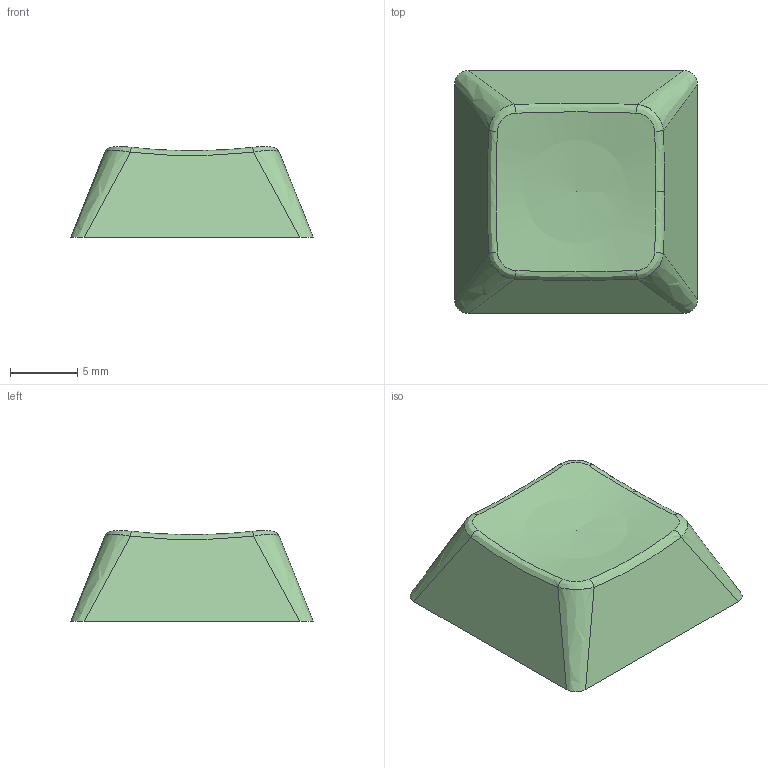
import cadquery as cq

BASE_SIDE = 18.0
BASE_CORNER_RADIUS = 1.0
TOP_SIDE = 12.4
TOP_CORNER_RADIUS = 2.0
BLANK_HEIGHT = 7.0

DISH_RADIUS = 40.0
DISH_LOW_POINT = 6.0
RIM_FILLET = 0.6


def rounded_square(side, corner_radius):
    return cq.Sketch().rect(side, side).vertices().fillet(corner_radius)


def make_blank():
    base = rounded_square(BASE_SIDE, BASE_CORNER_RADIUS)
    top = rounded_square(TOP_SIDE, TOP_CORNER_RADIUS)
    top_location = cq.Location(cq.Vector(0, 0, BLANK_HEIGHT))
    return cq.Workplane("XY").placeSketch(base, top.moved(top_location)).loft(ruled=True)


def cut_dish(blank):
    ball_center = (0, 0, DISH_LOW_POINT + DISH_RADIUS)
    ball = cq.Workplane("XY").sphere(DISH_RADIUS).translate(ball_center)
    return blank.cut(ball)


def round_rim(dished):
    return dished.faces("%SPHERE").edges().fillet(RIM_FILLET)


result = round_rim(cut_dish(make_blank()))